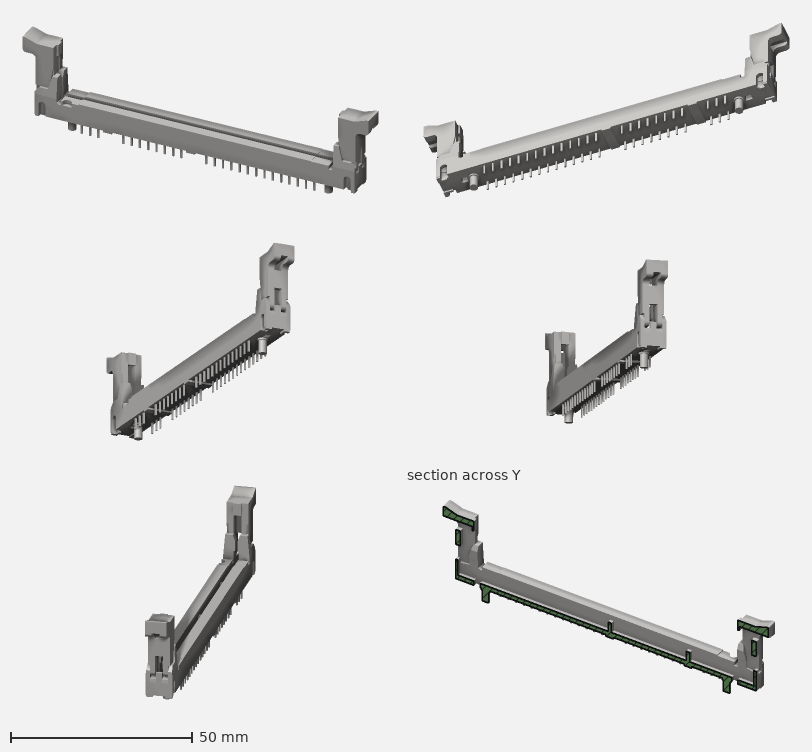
import cadquery as cq


body_half_length = 49.0
body_width = 7.5
body_bottom = 0.5
body_top = 7.0
left_pad_top = 6.7
right_pad_top = 6.9
pad_edge = 35.6

slot_width = 1.6
slot_floor = 2.1
slot_half_length = 40.9
key_width = 1.3
key_top = 5.3
key_centers = (-26.7, -1.3)
mark_radius = 1.4
mark_x = -39.1
mark_floor = 5.4

post_inner = 42.3
post_top = 13.5
post_top_outer = 43.9
post_foot_outer = 45.0
post_top_half_width = 3.2
post_gap = 0.7
post_gap_bottom = 8.8
post_lead_in_width = 0.6
post_lead_in_height = 1.7
shoulder_top = 9.3
shoulder_chamfer_x = 1.3
shoulder_chamfer_z = 1.5
end_notch_width = 1.3
notch_ramp_x = 0.5
notch_ramp_z = 0.3
left_notch_floor = 5.4
right_notch_floor = 5.7
through_hole_end = 42.9

pocket_inner = post_foot_outer
pocket_half_width = 2.5
pocket_floor = 6.1
pocket_edge = 5.5
pocket_lip = 4.5
pocket_lip_depth = 0.1
end_wall_top = 7.3
end_wall_width = 1.7
end_wall_thickness = 0.8

pivot_x = 46.7
pivot_z = 3.8
pivot_radius = 1.1
pivot_pin_depth = 1.1
pivot_groove_depth = 1.3

corner_foot_inner = 46.2
corner_foot_gap = 3.8
corner_foot_inset = 0.1
middle_foot_length = 2.6
middle_foot_centers = key_centers
peg_x = 39.2
peg_radius = 1.2
peg_bottom = -3.7
flange_radius = 1.5
pin_pitch = 1.3
pin_places = 58
pin_gaps = (range(6, 10), range(26, 30))
pin_row_y = 2.9
pin_width = 0.5
pin_thickness = 0.4
pin_bottom = -2.6

lever_tip = 53.0
lever_top = 23.8
lever_width = 6.1
tip_flat = 0.7
finger_start = 48.7
head_top = 22.6
finger_bottom = 19.1
tip_radius = 1.1
finger_radius = 1.3
lever_inner = 43.6
taper_start = 16.4
skirt_bottom = 9.5
skirt_inner = 44.8
skirt_chamfer = 0.5
leg_radius = 1.2
lever_slot_width = 2.2
lever_slot_top = 12.3
window_top = 20.5
window_bottom = 17.5
channel_depth = 3.8
nub_inner = 42.9


def box(x0, x1, y0, y1, z0, z1):
    """Block between opposite corners."""
    return cq.Workplane("XY").box(x1 - x0, y1 - y0, z1 - z0, centered=False).translate((x0, y0, z0))


def centered_bar(x0, x1, width, z0, z1):
    """Block centred on the Y = 0 plane."""
    return box(x0, x1, -width / 2, width / 2, z0, z1)


def profile(points, width):
    """Outline in XZ, extruded symmetrically about Y = 0."""
    return cq.Workplane("XZ").polyline(points).close().extrude(width / 2, both=True)


def make_housing_end(notch_floor):
    """Post, shoulder, lever pocket and pivot recesses of the +X end."""
    shoulder = [
        (post_inner, body_bottom),
        (body_half_length, body_bottom),
        (body_half_length, shoulder_top - shoulder_chamfer_z),
        (body_half_length - shoulder_chamfer_x, shoulder_top),
        (post_foot_outer, shoulder_top),
        (post_top_outer, post_top),
        (post_inner, post_top),
    ]
    end = profile(shoulder, body_width)

    half_width = body_width / 2
    for side in (-1, 1):
        flank = (
            cq.Workplane("YZ")
            .polyline([(side * half_width, body_top), (side * half_width, post_top),
                       (side * post_top_half_width, post_top)])
            .close()
            .extrude(body_half_length)
        )
        end = end.cut(flank)

    pocket = profile(
        [(pocket_inner, pocket_floor), (body_half_length - pocket_lip_depth, pocket_edge),
         (body_half_length, pocket_lip), (body_half_length, post_top), (pocket_inner, post_top)],
        2 * pocket_half_width,
    )
    end_wall_inner = body_half_length - end_wall_thickness
    end_wall = centered_bar(end_wall_inner, body_half_length, end_wall_width, body_bottom, end_wall_top)
    end = end.cut(pocket).union(end_wall)

    end = end.cut(centered_bar(post_inner, pocket_inner, post_gap, post_gap_bottom, post_top))
    end = end.cut(centered_bar(post_inner, end_wall_inner, slot_width, slot_floor, post_gap_bottom))
    lead_in_foot = post_top - post_lead_in_height
    lead_in_half_width = post_gap / 2 + post_lead_in_width
    lead_in = (
        cq.Workplane("YZ", origin=(post_inner, 0, 0))
        .polyline([(-post_gap / 2, lead_in_foot), (post_gap / 2, lead_in_foot),
                   (lead_in_half_width, post_top), (-lead_in_half_width, post_top)])
        .close()
        .extrude(pocket_inner - post_inner)
    )
    end = end.cut(lead_in)

    notch_start = post_inner - end_notch_width
    notch_block = profile(
        [(notch_start, body_bottom), (post_inner, body_bottom), (post_inner, notch_floor + notch_ramp_z),
         (post_inner - notch_ramp_x, notch_floor), (notch_start, notch_floor)],
        body_width,
    )
    end = end.union(notch_block)
    end = end.cut(centered_bar(slot_half_length, through_hole_end, slot_width, body_bottom, post_gap_bottom))

    for side in (-1, 1):
        foot_face = half_width - corner_foot_inset
        y0, y1 = sorted((side * corner_foot_gap / 2, side * foot_face))
        end = end.union(box(corner_foot_inner, body_half_length, y0, y1, 0, body_bottom))
    for side in (-1, 1):
        face = side * half_width
        y0, y1 = sorted((face, face - side * pivot_groove_depth))
        end = end.cut(box(pivot_x - pivot_radius, pivot_x + pivot_radius, y0, y1, 0, pivot_z))
        bore = cq.Workplane("XZ", origin=(pivot_x, y1, pivot_z)).circle(pivot_radius)
        end = end.cut(bore.extrude(pivot_groove_depth))
        pin_y = y1 if side < 0 else y1 - pivot_pin_depth
        pin = cq.Workplane("XZ", origin=(pivot_x, pin_y, pivot_z)).circle(pivot_radius)
        end = end.union(pin.extrude(pivot_groove_depth - pivot_pin_depth))
    return end


def make_lever():
    """Latch lever of the +X end."""
    head = [
        (lever_inner, head_top),
        (finger_start, head_top),
        (lever_tip - tip_flat, lever_top),
        (lever_tip, lever_top),
        (lever_tip, finger_bottom),
        (body_half_length, finger_bottom),
    ]
    skirt = [
        (body_half_length, skirt_bottom),
        (skirt_inner + skirt_chamfer, skirt_bottom),
        (skirt_inner, skirt_bottom + skirt_chamfer),
        (lever_inner, taper_start),
    ]
    lever = profile(head + skirt, lever_width)
    lever = lever.edges(cq.selectors.NearestToPointSelector((lever_tip, 0, finger_bottom))).fillet(tip_radius)
    lever = lever.edges(
        cq.selectors.NearestToPointSelector((body_half_length, 0, finger_bottom))
    ).fillet(finger_radius)

    core = centered_bar(lever_inner, pocket_inner, 2 * pocket_half_width, post_top, taper_start)
    legs = centered_bar(pocket_inner, body_half_length, 2 * pocket_half_width, pocket_floor, taper_start)
    legs = legs.edges("|Y and >X and <Z").fillet(leg_radius)
    lever = lever.union(core).union(legs)

    lever = lever.cut(centered_bar(lever_inner, lever_tip, lever_slot_width, window_bottom, window_top))
    lever = lever.cut(
        centered_bar(lever_inner, lever_inner + channel_depth, lever_slot_width, pocket_floor, window_bottom)
    )
    lever = lever.cut(
        centered_bar(lever_inner, body_half_length, lever_slot_width, pocket_floor, lever_slot_top)
    )
    return lever.union(centered_bar(nub_inner, lever_inner, lever_slot_width, finger_bottom, head_top))


def make_body():
    """Long rail with pads, card slot, keys, mark recess and middle feet."""
    rail_end = post_inner - end_notch_width
    body = profile(
        [
            (-rail_end, body_bottom),
            (rail_end, body_bottom),
            (rail_end, right_pad_top),
            (pad_edge, right_pad_top),
            (pad_edge, body_top),
            (-pad_edge, body_top),
            (-pad_edge, left_pad_top),
            (-rail_end, left_pad_top),
        ],
        body_width,
    )
    body = body.cut(centered_bar(-rail_end, rail_end, slot_width, slot_floor, body_top))
    for x in key_centers:
        body = body.union(centered_bar(x - key_width / 2, x + key_width / 2, slot_width, slot_floor, key_top))
    mark = cq.Workplane("XY", origin=(mark_x, -body_width / 2, mark_floor)).circle(mark_radius)
    body = body.cut(mark.extrude(left_pad_top - mark_floor))
    for x in middle_foot_centers:
        half = middle_foot_length / 2
        body = body.union(centered_bar(x - half, x + half, body_width, 0, body_bottom))
    return body


def add_pegs(part):
    """Flanged locating peg under each end of the slot."""
    for x in (-peg_x, peg_x):
        flange = cq.Workplane("XY", origin=(x, 0, 0)).circle(flange_radius).extrude(body_bottom)
        peg = cq.Workplane("XY", origin=(x, 0, peg_bottom)).circle(peg_radius).extrude(-peg_bottom)
        part = part.union(flange).union(peg)
    return part


def add_pins(part):
    """Solder pins on one pitch, alternating between the two rows."""
    points = []
    for i in range(pin_places):
        if any(i in gap for gap in pin_gaps):
            continue
        row = pin_row_y if i % 2 == 0 else -pin_row_y
        points.append(((i - (pin_places - 1) / 2) * pin_pitch, row))
    pins = (
        cq.Workplane("XY", origin=(0, 0, pin_bottom))
        .pushPoints(points)
        .rect(pin_width, pin_thickness)
        .extrude(body_bottom - pin_bottom)
    )
    return part.union(pins)


right_end = make_housing_end(right_notch_floor).union(make_lever())
left_end = make_housing_end(left_notch_floor).union(make_lever()).mirror("YZ")

result = make_body().union(right_end).union(left_end)
result = add_pins(add_pegs(result))